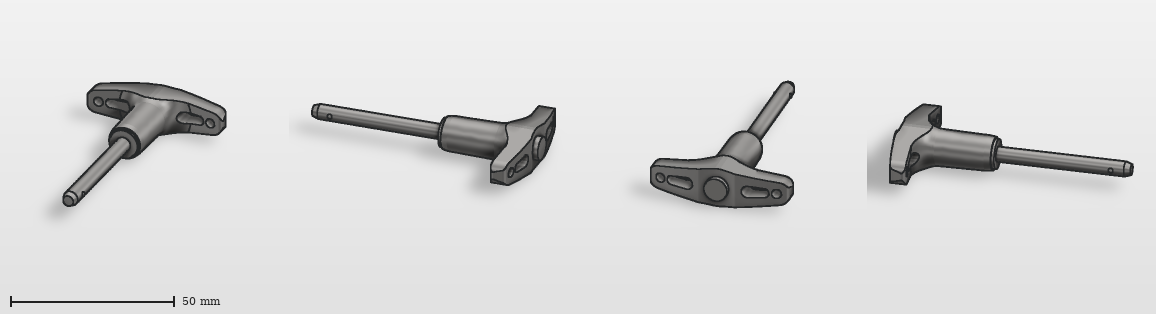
import cadquery as cq
import math

length = 74.4

button_radius = 3.7
button_depth = 3.7

half_span = 22.8
crown_x = 5.7
crown_y = -1.35
crown_fillet = 2.2
dip_y = -1.9
bar_back_mid = (12.3, -2.05)
end_back = (22.1, -3.9)
end_front_y = -8.8
bar_root_x = 10.4
bar_root_y = -7.6
end_corner_radius = 1.1

half_height = 6.36
ridge_half_width = 0.8
side_slope = 0.136

hole_x = 18.6
hole_radius = 1.5
slot_outer_x = 14.8
slot_outer_radius = 1.5
slot_inner_x = 9.75
slot_inner_radius = 1.9

flare_radius = 12.0
flare_y = -7.75
flare_overlap = 0.75
neck_radius = 5.95
neck_y = -12.8
barrel_top_radius = 5.8
barrel_top_y = -13.55
barrel_end_radius = 5.545
barrel_end_y = -29.0
nose_radius = 5.2
nose_bulge = 0.1
nose_y = -31.2
collar_radius = 4.7
collar_y = -32.15

pin_radius = 2.4
tip_radius = 1.7
tip_length = 1.9
ball_radius = 0.8
ball_y = -68.4
ball_offset = 2.05


def revolve_about_pin(profile):
    return profile.close().revolve(360, (0, 0, 0), (0, 1, 0))


def lozenge():
    """Outline of the bar along the pin axis, with round ends tangent to the sloping sides."""
    slope_angle = math.atan(side_slope)
    cos_slope = math.cos(slope_angle)
    apex_height = half_height + side_slope * ridge_half_width
    end_centre_x = (half_span - apex_height * cos_slope) / (1 - side_slope * cos_slope)
    end_radius = half_span - end_centre_x
    tangent_x = end_centre_x + end_radius * math.sin(slope_angle)
    tangent_z = end_radius * cos_slope
    return (
        cq.Workplane("XZ")
        .moveTo(-ridge_half_width, half_height)
        .lineTo(ridge_half_width, half_height)
        .lineTo(tangent_x, tangent_z)
        .threePointArc((half_span, 0), (tangent_x, -tangent_z))
        .lineTo(ridge_half_width, -half_height)
        .lineTo(-ridge_half_width, -half_height)
        .lineTo(-tangent_x, -tangent_z)
        .threePointArc((-half_span, 0), (-tangent_x, tangent_z))
        .close()
        .extrude(length)
    )


def edge_at(x, y):
    """Select the Z-direction edge whose middle lies at the given point."""
    return cq.selectors.NearestToPointSelector((x, y, 0))


def bar():
    """Bowed bar with a shallow dip behind the button and slanted, rounded ends."""
    end_x, end_y = end_back
    mid_x, mid_y = bar_back_mid
    body = (
        cq.Workplane("XY")
        .moveTo(-crown_x, crown_y)
        .threePointArc((0, dip_y), (crown_x, crown_y))
        .threePointArc((mid_x, mid_y), (end_x, end_y))
        .lineTo(half_span, end_front_y)
        .lineTo(bar_root_x, bar_root_y)
        .lineTo(-bar_root_x, bar_root_y)
        .lineTo(-half_span, end_front_y)
        .lineTo(-end_x, end_y)
        .threePointArc((-mid_x, mid_y), (-crown_x, crown_y))
        .close()
        .extrude(half_height, both=True)
    )
    for side in (-1, 1):
        for corner in ((end_x, end_y), (half_span, end_front_y)):
            body = body.edges(edge_at(side * corner[0], corner[1])).fillet(end_corner_radius)
        body = body.edges(edge_at(side * crown_x, crown_y)).fillet(crown_fillet)
    return body


def flare():
    """Trumpet-shaped blend from the bar into the neck of the barrel."""
    radial = flare_radius - neck_radius
    axial = flare_y - neck_y
    arc_radius = (radial ** 2 + axial ** 2) / (2 * axial)
    half_angle = math.asin(radial / arc_radius) / 2
    arc_mid = (
        flare_radius - arc_radius * math.sin(half_angle),
        flare_y - arc_radius * (1 - math.cos(half_angle)),
    )
    return revolve_about_pin(
        cq.Workplane("XY")
        .moveTo(0, flare_y + flare_overlap)
        .lineTo(flare_radius, flare_y + flare_overlap)
        .lineTo(flare_radius, flare_y)
        .threePointArc(arc_mid, (neck_radius, neck_y))
        .lineTo(0, neck_y)
    )


def barrel_and_pin():
    nose_mid = (
        (barrel_end_radius + nose_radius) / 2 + nose_bulge,
        (barrel_end_y + nose_y) / 2,
    )
    return revolve_about_pin(
        cq.Workplane("XY")
        .moveTo(0, neck_y)
        .lineTo(neck_radius, neck_y)
        .lineTo(barrel_top_radius, barrel_top_y)
        .lineTo(barrel_end_radius, barrel_end_y)
        .threePointArc(nose_mid, (nose_radius, nose_y))
        .lineTo(collar_radius, nose_y)
        .lineTo(collar_radius, collar_y)
        .lineTo(pin_radius, collar_y)
        .lineTo(pin_radius, tip_length - length)
        .lineTo(tip_radius, -length)
        .lineTo(0, -length)
    )


def wing_openings(side):
    """Lanyard hole and tapered slot in the wing on the given side (+1 or -1)."""
    hole = cq.Workplane("XZ").center(side * hole_x, 0).circle(hole_radius).extrude(length)
    sine = (slot_inner_radius - slot_outer_radius) / (slot_outer_x - slot_inner_x)
    cosine = math.sqrt(1 - sine ** 2)
    inner_x = side * (slot_inner_x + slot_inner_radius * sine)
    inner_z = slot_inner_radius * cosine
    outer_x = side * (slot_outer_x + slot_outer_radius * sine)
    outer_z = slot_outer_radius * cosine
    slot = (
        cq.Workplane("XZ")
        .moveTo(inner_x, inner_z)
        .lineTo(outer_x, outer_z)
        .threePointArc((side * (slot_outer_x + slot_outer_radius), 0), (outer_x, -outer_z))
        .lineTo(inner_x, -inner_z)
        .threePointArc((side * (slot_inner_x - slot_inner_radius), 0), (inner_x, inner_z))
        .close()
        .extrude(length)
    )
    return hole.union(slot)


handle = bar().union(flare()).intersect(lozenge())
for side in (-1, 1):
    handle = handle.cut(wing_openings(side))

button = cq.Workplane("XZ").circle(button_radius).extrude(button_depth)
result = handle.union(button).union(barrel_and_pin())
for side in (-1, 1):
    ball = cq.Workplane("XY").sphere(ball_radius).translate((side * ball_offset, ball_y, 0))
    result = result.union(ball)